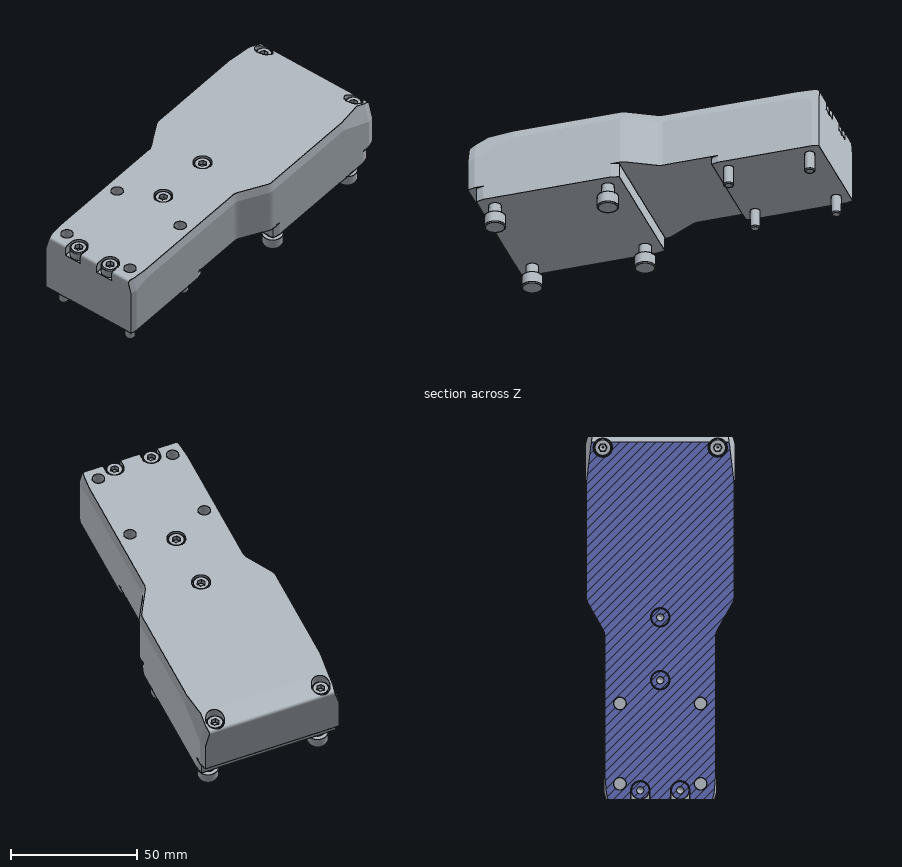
import cadquery as cq
import math

LENGTH = 144.0
HEIGHT = 24.2
WIDE_HALF = 29.74
NARROW_HALF = 22.3

SHOULDER_WIDE_Y = 79.0
SHOULDER_NARROW_Y = 66.0
SHOULDER_ROUND = 5.0

LEAN_ANGLE = 15.0
LEAN = math.tan(math.radians(LEAN_ANGLE))

WIDE_CORNER = 3.2
NARROW_CORNER = 2.7

BEVEL_DROP = 3.9
BEVEL_Z = HEIGHT - BEVEL_DROP

WIDE_SIDE_FLAT_Y = 125.0
WIDE_SIDE_FLAT_FALL = 0.44
NARROW_SIDE_FLAT_Y = 9.5
NARROW_SIDE_FLAT_FALL = 0.3

FACET_LENGTH = 8.0
FACET_ANGLE = 24.5
FACET_SLOPE = math.tan(math.radians(FACET_ANGLE))
FACET_DROP = FACET_LENGTH * FACET_SLOPE
END_ROUND = 1.5

WIDE_FOOT_Y = (80.8, 140.4)
WIDE_FOOT_HEIGHT = 6.2
NARROW_FOOT_Y = (0, 44.6)
NARROW_FOOT_HEIGHT = 3.2

MOUNT_X = 23.6
MOUNT_Y = (87.3, 134.4)
MOUNT_SHANK_DIAMETER = 5.0
MOUNT_HEAD_DIAMETER = 8.5
MOUNT_HEAD_HEIGHT = 5.0
MOUNT_BOTTOM_Z = -16.3

PIN_X = 16.8
PIN_Y = (5.3, 39.2)
PIN_DIAMETER = 4.0
PIN_BOTTOM_Z = -11.4
TIP_CHAMFER = 0.5

COVER_BORE_DIAMETER = 7.5
COVER_BORE_DEPTH = 4.5
COVER_HEAD_DIAMETER = 7.0
COVER_HEAD_SINK = 0.6
FACET_HEAD_SINK = 1.7
COVER_HEAD_CHAMFER = 0.5
SOCKET_ACROSS_CORNERS = 3.5
SOCKET_SIDES = 6
SOCKET_DEPTH = 2.0
SOCKET_POINT_RADIUS = 1.5
SOCKET_POINT_DEPTH = 0.9
CENTRE_SCREW_Y = (47.4, 72.3)
NARROW_END_SCREW = (7.9, 3.7)
WIDE_END_SCREW = (22.8, 139.5)

BLIND_X = 16.0
BLIND_Y = (6.3, 38.2)
BLIND_DIAMETER = 4.9
BLIND_DEPTH = 5.8

OVERCUT = 7.2
SLAB_SPAN = 46.1
SLAB_THICKNESS = 23.0


def mirrored(right_side):
    """Closed loop of points from those of its +X side, listed with rising y."""
    left_side = [(-x, y) for x, y in reversed(right_side)]
    return right_side + left_side + right_side[:1]


def foot(half_width, y_min, y_max, corner, height):
    """Block below the housing with slim flats on its four corners."""
    end_x = half_width - corner * LEAN
    points = [(end_x, y_min), (half_width, y_min + corner), (half_width, y_max - corner), (end_x, y_max)]
    return cq.Workplane("XY").polyline(mirrored(points)).close().extrude(-height)


def slab_outside(origin, normal):
    """Local cutting slab lying on the outer side of a plane."""
    along = cq.Vector(*normal).cross(cq.Vector(0, 0, 1))
    plane = cq.Plane(origin=origin, xDir=along.toTuple(), normal=normal)
    return cq.Workplane(plane).rect(SLAB_SPAN, SLAB_SPAN).extrude(SLAB_THICKNESS)


def side_walls():
    """Body with rounded, bevelled side walls that run past both ends, so that the ends stay upright."""
    points = [
        (NARROW_HALF, -OVERCUT),
        (NARROW_HALF, SHOULDER_NARROW_Y),
        (WIDE_HALF, SHOULDER_WIDE_Y),
        (WIDE_HALF, LENGTH + OVERCUT),
    ]
    outline = cq.Sketch().polygon(mirrored(points)).vertices().fillet(SHOULDER_ROUND)
    straight = cq.Workplane("XY").placeSketch(outline).extrude(BEVEL_Z)
    top_plane = cq.Workplane("XY", origin=(0, 0, BEVEL_Z))
    return straight.union(top_plane.placeSketch(outline).extrude(BEVEL_DROP, taper=LEAN_ANGLE))


def housing():
    ends = cq.Workplane("XY").box(2 * WIDE_HALF, LENGTH, HEIGHT, centered=(True, False, False))
    body = side_walls().intersect(ends)

    facet = (
        cq.Workplane("YZ")
        .polyline([(LENGTH - FACET_LENGTH, HEIGHT), (LENGTH, HEIGHT - FACET_DROP), (LENGTH, HEIGHT)])
        .close()
        .extrude(WIDE_HALF, both=True)
    )
    body = body.cut(facet)
    end_edges = (
        (0, HEIGHT),
        (LENGTH - FACET_LENGTH, HEIGHT),
        (LENGTH, HEIGHT - FACET_DROP),
    )
    for edge_y, edge_z in end_edges:
        edge = cq.selectors.NearestToPointSelector((0, edge_y, edge_z))
        body = body.edges(edge).fillet(END_ROUND)

    wide_side = slab_outside(
        (WIDE_HALF, WIDE_SIDE_FLAT_Y, BEVEL_Z),
        (1, LEAN * WIDE_SIDE_FLAT_FALL, LEAN),
    )
    narrow_side = slab_outside(
        (NARROW_HALF, NARROW_SIDE_FLAT_Y, BEVEL_Z),
        (1, -LEAN * NARROW_SIDE_FLAT_FALL, LEAN),
    )

    wide_y = LENGTH - WIDE_CORNER
    wide_z = BEVEL_Z - WIDE_SIDE_FLAT_FALL * (wide_y - WIDE_SIDE_FLAT_Y)
    narrow_z = BEVEL_Z - NARROW_SIDE_FLAT_FALL * (NARROW_SIDE_FLAT_Y - NARROW_CORNER)
    cutters = [wide_side, narrow_side]
    for lean in (0, LEAN):
        cutters.append(slab_outside((WIDE_HALF, wide_y, wide_z), (1, LEAN, lean)))
        cutters.append(slab_outside((NARROW_HALF, NARROW_CORNER, narrow_z), (1, -LEAN, lean)))
    for cutter in cutters:
        body = body.cut(cutter).cut(cutter.mirror("YZ"))
    return body


def rod(diameter, z_bottom, z_top):
    return cq.Workplane("XY", origin=(0, 0, z_bottom)).circle(diameter / 2).extrude(z_top - z_bottom)


def mount_screw():
    head_top = MOUNT_BOTTOM_Z + MOUNT_HEAD_HEIGHT
    head = rod(MOUNT_HEAD_DIAMETER, MOUNT_BOTTOM_Z, head_top).faces("<Z").chamfer(TIP_CHAMFER)
    return head.union(rod(MOUNT_SHANK_DIAMETER, head_top, 0))


def locating_pin():
    return rod(PIN_DIAMETER, PIN_BOTTOM_Z, 0).faces("<Z").chamfer(TIP_CHAMFER)


def cover_screw_head(floor_z, top_z):
    head = rod(COVER_HEAD_DIAMETER, floor_z, top_z).faces(">Z").chamfer(COVER_HEAD_CHAMFER)
    head = head.faces(">Z").workplane().polygon(SOCKET_SIDES, SOCKET_ACROSS_CORNERS).cutBlind(-SOCKET_DEPTH)
    point = cq.Solid.makeCone(
        SOCKET_POINT_RADIUS,
        0,
        SOCKET_POINT_DEPTH,
        pnt=cq.Vector(0, 0, top_z - SOCKET_DEPTH),
        dir=cq.Vector(0, 0, -1),
    )
    return head.cut(cq.Workplane(point))


def add_cover_screw(body, x, y, surface_z, head_sink=COVER_HEAD_SINK, open_end=False):
    """Sink a screw head in a bore; an open bore breaks out through the narrow end."""
    floor_z = surface_z - COVER_BORE_DEPTH
    bore = rod(COVER_BORE_DIAMETER, floor_z, surface_z + OVERCUT).translate((x, y, 0))
    if open_end:
        breakout = cq.Workplane("XY").box(
            COVER_BORE_DIAMETER, y, COVER_BORE_DEPTH, centered=(True, False, False)
        )
        bore = bore.union(breakout.translate((x, 0, floor_z)))
    head = cover_screw_head(floor_z, surface_z - head_sink)
    return body.cut(bore).union(head.translate((x, y, 0)))


result = (
    housing()
    .union(foot(WIDE_HALF, *WIDE_FOOT_Y, WIDE_CORNER, WIDE_FOOT_HEIGHT))
    .union(foot(NARROW_HALF, *NARROW_FOOT_Y, NARROW_CORNER, NARROW_FOOT_HEIGHT))
)

for side in (-1, 1):
    for y in MOUNT_Y:
        result = result.union(mount_screw().translate((side * MOUNT_X, y, 0)))
    for y in PIN_Y:
        result = result.union(locating_pin().translate((side * PIN_X, y, 0)))
    for y in BLIND_Y:
        hole = rod(BLIND_DIAMETER, HEIGHT - BLIND_DEPTH, HEIGHT)
        result = result.cut(hole.translate((side * BLIND_X, y, 0)))

    narrow_x, narrow_y = NARROW_END_SCREW
    result = add_cover_screw(result, side * narrow_x, narrow_y, HEIGHT, open_end=True)
    wide_x, wide_y = WIDE_END_SCREW
    facet_z = HEIGHT - FACET_SLOPE * (wide_y - (LENGTH - FACET_LENGTH))
    result = add_cover_screw(result, side * wide_x, wide_y, facet_z, FACET_HEAD_SINK)

for y in CENTRE_SCREW_Y:
    result = add_cover_screw(result, 0, y, HEIGHT)